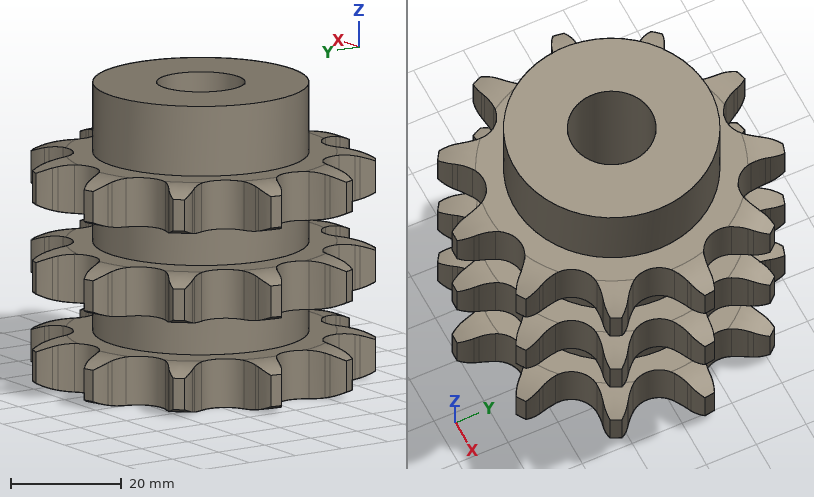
import cadquery as cq
import math


tooth_count = 11
strand_count = 3
chain_pitch = 15.85
roller_dia = 10.2
tip_radius = 31.5
tooth_width = 9.0
strand_spacing = 16.55
hub_dia = 39.0
bore_dia = 16.0
total_height = 55.0

relief_start_radius = 24.55
relief_arc_radius = chain_pitch

half_tooth_angle = math.pi / tooth_count
pitch_radius = chain_pitch / 2 / math.sin(half_tooth_angle)
cutter_radius = 1.1 * tip_radius


def polar(origin, radius, angle):
    """Point at a distance and an angle in radians from an origin."""
    return (origin[0] + radius * math.cos(angle), origin[1] + radius * math.sin(angle))


def mirrored(point):
    """Point reflected across the centreline of the tooth gap."""
    return (-point[0], point[1])


def tooth_gap():
    """Cutter for one gap between teeth, opening towards +Y."""
    seat_angle = math.radians(35 + 60 / tooth_count)
    working_angle = math.radians(18 - 56 / tooth_count)
    topping_angle = math.radians(17 - 64 / tooth_count)
    flank_angle = seat_angle - working_angle

    seat_radius = 0.5025 * roller_dia
    working_offset = 0.8 * roller_dia
    topping_offset = 1.4 * roller_dia
    working_radius = seat_radius + working_offset
    topping_radius = (
        working_offset * math.cos(working_angle)
        + topping_offset * math.cos(topping_angle)
        - working_radius
    )

    roller_center = (0, pitch_radius)
    working_center = polar(roller_center, working_offset, math.pi - seat_angle)
    topping_center = polar(roller_center, topping_offset, -half_tooth_angle)

    seat_bottom = (0, pitch_radius - seat_radius)
    seat_end = polar(roller_center, seat_radius, -seat_angle)
    working_mid = polar(working_center, working_radius, -seat_angle + working_angle / 2)
    working_end = polar(working_center, working_radius, -flank_angle)

    topping_start_angle = math.pi - flank_angle
    center_radius = math.hypot(*topping_center)
    center_angle = math.atan2(topping_center[1], topping_center[0])
    tip_offset_angle = math.acos(
        (center_radius**2 + tip_radius**2 - topping_radius**2) / (2 * center_radius * tip_radius)
    )
    topping_end = polar((0, 0), tip_radius, center_angle + tip_offset_angle)
    topping_end_angle = math.atan2(
        topping_end[1] - topping_center[1], topping_end[0] - topping_center[0]
    )
    topping_start = polar(topping_center, topping_radius, topping_start_angle)
    topping_mid = polar(
        topping_center, topping_radius, (topping_start_angle + topping_end_angle) / 2
    )
    outer_corner = (topping_end[0], cutter_radius)

    return (
        cq.Workplane("XY")
        .moveTo(*mirrored(seat_end))
        .threePointArc(seat_bottom, seat_end)
        .threePointArc(working_mid, working_end)
        .lineTo(*topping_start)
        .threePointArc(topping_mid, topping_end)
        .lineTo(*outer_corner)
        .lineTo(*mirrored(outer_corner))
        .lineTo(*mirrored(topping_end))
        .threePointArc(mirrored(topping_mid), mirrored(topping_start))
        .lineTo(*mirrored(working_end))
        .threePointArc(mirrored(working_mid), mirrored(seat_end))
        .close()
        .extrude(tooth_width)
    )


def tooth_blank():
    """Disc whose rim curves in from both faces towards the tip."""

    def relief_depth(radius):
        return relief_arc_radius - math.sqrt(
            relief_arc_radius**2 - (radius - relief_start_radius) ** 2
        )

    mid_radius = (relief_start_radius + tip_radius) / 2
    mid_depth = relief_depth(mid_radius)
    tip_depth = relief_depth(tip_radius)
    return (
        cq.Workplane("XZ")
        .lineTo(relief_start_radius, 0)
        .threePointArc((mid_radius, mid_depth), (tip_radius, tip_depth))
        .lineTo(tip_radius, tooth_width - tip_depth)
        .threePointArc((mid_radius, tooth_width - mid_depth), (relief_start_radius, tooth_width))
        .lineTo(0, tooth_width)
        .close()
        .revolve(360, (0, 0), (0, 1))
    )


def toothed_ring():
    """One row of teeth resting on Z = 0, with a gap centred on +Y."""
    ring = tooth_blank()
    gap = tooth_gap()
    for index in range(tooth_count):
        ring = ring.cut(gap.rotate((0, 0, 0), (0, 0, 1), index * 360 / tooth_count))
    return ring


result = cq.Workplane("XY").circle(hub_dia / 2).extrude(total_height)
ring = toothed_ring()
for strand in range(strand_count):
    result = result.union(ring.translate((0, 0, strand * strand_spacing)))

bore = cq.Workplane("XY").circle(bore_dia / 2).extrude(total_height)
result = result.cut(bore)